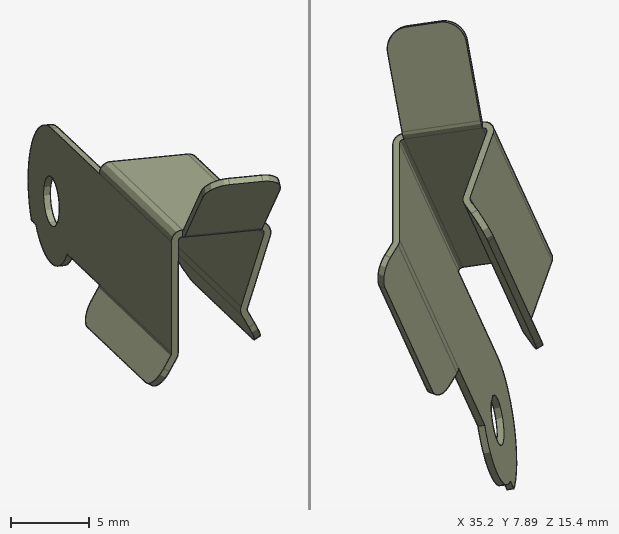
import cadquery as cq
import math


overall_length = 35.15

thickness = 0.45
inner_bend_radius = 0.28
outer_bend_radius = inner_bend_radius + thickness
corner_radius = 1.48

lug_radius = 4.9
lower_lug_radius = 4.15
hole_diameter = 3.25
arm_bottom = -2.53

channel_start = 10.0
channel_length = 15.05
channel_end = channel_start + channel_length
roof_width = 5.17
roof_top = lug_radius + outer_bend_radius

flap_angle = 30
flap_length = 2.45

leg_lean_angle = 18
leg_length = 4.92
kick_angle = 29
kick_length = 2.43

tab_angle = 45
tab_radians = math.radians(tab_angle)
tab_tip = overall_length - lug_radius
tab_bend_end = channel_end + outer_bend_radius * math.sin(tab_radians)
tab_length = (tab_tip - tab_bend_end) / math.cos(tab_radians)


def strip_profile(plane, start, heading, moves):
    """Closed outline of a bent sheet, drawn from the start of its left edge.

    Moves are ("straight", length) or ("bend", angle), positive angles turning left.
    """
    def step(point, direction, distance):
        angle = math.radians(direction)
        return (point[0] + distance * math.cos(angle), point[1] + distance * math.sin(angle))

    left = start
    right_points = [step(left, heading - 90, thickness)]
    right_arc_middles = []
    outline = cq.Workplane(plane).moveTo(*left)
    for kind, amount in moves:
        if kind == "straight":
            left = step(left, heading, amount)
            outline = outline.lineTo(*left)
            right_arc_middles.append(None)
        else:
            side = math.copysign(90, amount)
            left_radius = inner_bend_radius if amount > 0 else outer_bend_radius
            right_radius = outer_bend_radius if amount > 0 else inner_bend_radius
            centre = step(left, heading + side, left_radius)
            middle_direction = heading - side + amount / 2
            heading += amount
            left = step(centre, heading - side, left_radius)
            outline = outline.threePointArc(step(centre, middle_direction, left_radius), left)
            right_arc_middles.append(step(centre, middle_direction, right_radius))
        right_points.append(step(left, heading - 90, thickness))

    outline = outline.lineTo(*right_points[-1])
    for point, middle in zip(reversed(right_points[:-1]), reversed(right_arc_middles)):
        if middle is None:
            outline = outline.lineTo(*point)
        else:
            outline = outline.threePointArc(middle, point)
    return outline.close()


def round_free_end(sheet, across_sheet):
    """Round the two corners whose short edges run along the given direction."""
    edges = sheet.edges(cq.selectors.ParallelDirSelector(cq.Vector(*across_sheet)))
    return edges.fillet(corner_radius)


def direction_across(angle):
    """Direction through the thickness of a YZ sheet whose lower end is tilted towards +Y."""
    return (0, math.cos(math.radians(angle)), math.sin(math.radians(angle)))


def make_wall_and_roof():
    """Front wall, roof and rear leg, from the bottom of the wall to the kick."""
    moves = [
        ("straight", lug_radius - arm_bottom),
        ("bend", -90),
        ("straight", roof_width),
        ("bend", -90 - leg_lean_angle),
        ("straight", leg_length),
        ("bend", leg_lean_angle + kick_angle),
        ("straight", kick_length),
    ]
    sheet = strip_profile("YZ", (0, arm_bottom), 90, moves)
    sheet = sheet.extrude(channel_length).translate((channel_start, 0, 0))
    return round_free_end(sheet, direction_across(kick_angle))


def make_front_flap():
    moves = [("bend", -flap_angle), ("straight", flap_length)]
    sheet = strip_profile("YZ", (thickness, arm_bottom), -90, moves)
    sheet = sheet.extrude(channel_length).translate((channel_start, 0, 0))
    return round_free_end(sheet, direction_across(-flap_angle))


def make_tab():
    moves = [("bend", tab_angle), ("straight", tab_length)]
    sheet = strip_profile("XZ", (channel_end, roof_top), 0, moves)
    sheet = sheet.extrude(-roof_width).translate((0, outer_bend_radius, 0))
    across_sheet = (-math.sin(tab_radians), 0, math.cos(tab_radians))
    return round_free_end(sheet, across_sheet)


def make_arm():
    """Flat arm: a large lug cut off at the arm bottom and a smaller lug below it."""
    def disc(radius):
        return cq.Workplane("XZ").circle(radius).extrude(-thickness)

    arm_height = lug_radius - arm_bottom
    reach = channel_start + lug_radius
    trim = (
        cq.Workplane("XY")
        .box(reach, thickness, arm_height, centered=False)
        .translate((-lug_radius, 0, arm_bottom))
    )
    bar = (
        cq.Workplane("XY")
        .box(channel_start, thickness, arm_height, centered=False)
        .translate((0, 0, arm_bottom))
    )
    arm = disc(lug_radius).intersect(trim).union(bar).union(disc(lower_lug_radius))
    return arm.cut(disc(hole_diameter / 2))


result = make_wall_and_roof().union(make_front_flap()).union(make_tab()).union(make_arm())